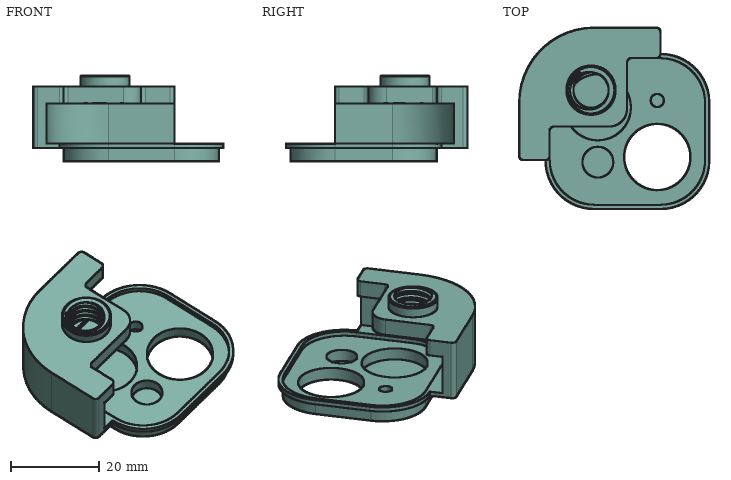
import cadquery as cq
import math

length_x = 43.2
length_y = 41.2
height = 19.53

plate_thickness = 3.0
flange_thickness = 1.05
slab_underside = 13.18
slab_top = 17.0
flange_top = plate_thickness + flange_thickness

rim_radius = 11.1
rim_width = 1.0
wall_radius = 17.05
wall_thickness = 3.02
plate_radius = rim_radius - rim_width
wall_inner_radius = wall_radius - wall_thickness
center_left = wall_radius
center_right = length_x - rim_radius
center_front = rim_radius
center_back = length_y - wall_radius

block_right = 24.5
block_front = 18.75
block_radius = 4.0
edge_radius = 1.0
leg_right = center_left - plate_radius
arm_front = center_back + plate_radius

boss_x = 16.35
boss_y = 27.0
boss_diameter = 11.2
boss_chamfer = 0.3
bore_diameter = 8.0
thread_diameter = 9.5
thread_pitch = 1.6
thread_root_flat = 0.2
thread_flank_angle = math.radians(30)
thread_phase = 197.0
bore_taper = 0.01
thread_overlap = 0.17

hole_left_x = 17.9
hole_right_x = 31.35
pocket_depth = 2.75
large_pocket = (hole_left_x, 23.1, 15.0)
medium_pocket = (hole_left_x, 10.65, 7.0)
small_pocket = (hole_right_x, 24.65, 3.0)
through_hole = (hole_right_x, 11.85, 15.0)


def rounded_block(radius, bottom, top):
    """Block whose four corner arcs of the given radius sit on the shared centres."""
    width = center_right - center_left + 2 * radius
    depth = center_back - center_front + 2 * radius
    middle_x = (center_left + center_right) / 2
    middle_y = (center_front + center_back) / 2
    return (
        cq.Workplane("XY", origin=(middle_x, middle_y, bottom))
        .rect(width, depth)
        .extrude(top - bottom)
        .edges("|Z")
        .fillet(radius)
    )


def corner_block(radius, bottom, top):
    """Block over the back-left corner, ending at the front-left and back-right centres."""
    left = center_left - radius
    back = center_back + radius
    diagonal = radius * math.sqrt(0.5)
    return (
        cq.Workplane("XY", origin=(0, 0, bottom))
        .moveTo(left, center_front)
        .lineTo(left, center_back)
        .threePointArc((center_left - diagonal, center_back + diagonal), (center_left, back))
        .lineTo(center_right, back)
        .lineTo(center_right, center_front)
        .close()
        .extrude(top - bottom)
    )


def vertical_edge(x, y):
    """Selector for the upright edge nearest to a point, at mid-height of the roof slab."""
    return cq.selectors.NearestToPointSelector((x, y, (slab_underside + slab_top) / 2))


def make_flange():
    """Thin ring around the plate opening, widened out to the wall."""
    outline = rounded_block(rim_radius, plate_thickness, flange_top)
    under_wall = corner_block(wall_radius, plate_thickness, flange_top)
    inside_strip = corner_block(plate_radius, plate_thickness, flange_top)
    opening = rounded_block(plate_radius, plate_thickness, flange_top)
    return outline.union(under_wall.cut(inside_strip)).cut(opening)


def make_wall():
    outer = corner_block(wall_radius, plate_thickness, slab_underside)
    return outer.cut(corner_block(wall_inner_radius, plate_thickness, slab_underside))


def make_slab():
    """Roof with a stepped inner edge: leg, central block and arm."""
    diagonal = wall_radius * math.sqrt(0.5)
    slab = (
        cq.Workplane("XY", origin=(0, 0, slab_underside))
        .moveTo(0, center_front)
        .lineTo(0, center_back)
        .threePointArc((center_left - diagonal, center_back + diagonal), (center_left, length_y))
        .lineTo(center_right, length_y)
        .lineTo(center_right, arm_front)
        .lineTo(block_right, arm_front)
        .lineTo(block_right, block_front)
        .lineTo(leg_right, block_front)
        .lineTo(leg_right, center_front)
        .close()
        .extrude(slab_top - slab_underside)
    )
    slab = slab.edges("|Z").edges(vertical_edge(block_right, block_front)).fillet(block_radius)
    small_corners = [
        (center_right, arm_front),
        (block_right, arm_front),
        (leg_right, block_front),
        (leg_right, center_front),
    ]
    for x, y in small_corners:
        slab = slab.edges("|Z").edges(vertical_edge(x, y)).fillet(edge_radius)
    return slab


def make_thread_cutter(barrel_length):
    """Right-handed V groove about the Z axis, overrunning the barrel at both ends."""
    turns = math.ceil(barrel_length / thread_pitch) + 2
    start_z = barrel_length - (turns - 1) * thread_pitch
    root_radius = thread_diameter / 2
    inner_radius = bore_diameter / 2 - thread_overlap
    root_half = thread_root_flat / 2
    mouth_half = root_half + (root_radius - inner_radius) * math.tan(thread_flank_angle)
    path = cq.Wire.makeHelix(thread_pitch, turns * thread_pitch, root_radius)
    groove = (
        cq.Workplane("XZ")
        .moveTo(inner_radius, -mouth_half)
        .lineTo(root_radius, -root_half)
        .lineTo(root_radius, root_half)
        .lineTo(inner_radius, mouth_half)
        .close()
        .sweep(cq.Workplane(obj=path), isFrenet=True)
    )
    return groove.translate((0, 0, start_z))


def make_threaded_barrel():
    """Threaded sleeve through the slab; the part above the slab is the boss."""
    barrel_length = height - slab_underside
    barrel = (
        cq.Workplane("XY")
        .circle(boss_diameter / 2)
        .extrude(barrel_length)
        .faces(">Z")
        .edges()
        .chamfer(boss_chamfer)
    )
    bore_radius = bore_diameter / 2
    bore = cq.Workplane(obj=cq.Solid.makeCone(bore_radius, bore_radius + bore_taper, barrel_length))
    barrel = barrel.cut(bore).cut(make_thread_cutter(barrel_length))
    barrel = barrel.rotate((0, 0, 0), (0, 0, 1), thread_phase)
    return barrel.translate((boss_x, boss_y, slab_underside))


def make_housing():
    housing = make_flange().union(make_wall()).union(make_slab()).clean()
    for x, y in [(0, center_front), (center_right, length_y)]:
        housing = housing.edges("|Z").edges(vertical_edge(x, y)).fillet(edge_radius)
    barrel_seat = (
        cq.Workplane("XY", origin=(boss_x, boss_y, slab_underside))
        .circle(boss_diameter / 2)
        .extrude(slab_top - slab_underside)
    )
    return housing.cut(barrel_seat).union(make_threaded_barrel())


def drill(plate, hole, depth):
    """Cut a round hole, given as (x, y, diameter), down from the top of the plate."""
    x, y, diameter = hole
    cutter = (
        cq.Workplane("XY", origin=(x, y, plate_thickness))
        .circle(diameter / 2)
        .extrude(-depth)
    )
    return plate.cut(cutter)


def make_plate():
    plate = rounded_block(plate_radius, 0, plate_thickness)
    for pocket in (large_pocket, medium_pocket, small_pocket):
        plate = drill(plate, pocket, pocket_depth)
    return drill(plate, through_hole, plate_thickness)


housing = make_housing()
plate = make_plate()
result = cq.Compound.makeCompound([housing.solids().val(), plate.solids().val()])